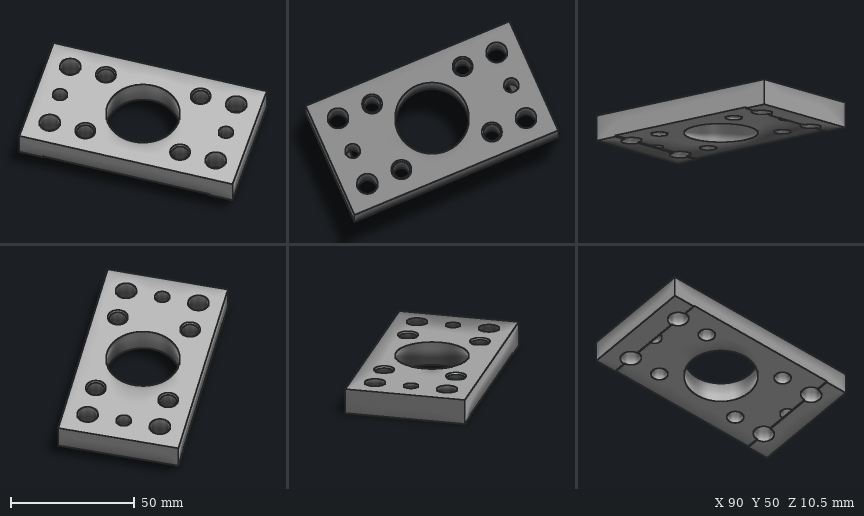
import cadquery as cq

length = 90.0
width = 50.0
height = 10.5

foot_length = 10.0
relief_depth = 0.5
relief_length = length - 2 * foot_length

bore_diameter = 30.0
hole_row_y = 15.0
clearance_diameter = 8.5
clearance_x = relief_length / 2
tapped_diameter = 6.8
tapped_chamfer_diameter = 8.2
tapped_x = 20.0
pin_diameter = 6.0
pin_x = clearance_x
pin_depth = height - relief_depth


def four_corners(x, y):
    return [(side_x * x, side_y * y) for side_x in (-1, 1) for side_y in (-1, 1)]


def top_holes(part, points, diameter, depth=None):
    return part.faces(">Z").workplane(origin=(0, 0, height)).pushPoints(points).hole(diameter, depth)


plate = cq.Workplane("XY").box(length, width, height, centered=(True, True, False))
relief = cq.Workplane("XY").box(relief_length, width, relief_depth, centered=(True, True, False))
result = plate.cut(relief)

result = top_holes(result, [(0, 0)], bore_diameter)
result = top_holes(result, four_corners(clearance_x, hole_row_y), clearance_diameter)

tapped_points = four_corners(tapped_x, hole_row_y)
result = (
    result.faces(">Z")
    .workplane(origin=(0, 0, height))
    .pushPoints(tapped_points)
    .cskHole(tapped_diameter, tapped_chamfer_diameter, 90)
)

result = top_holes(result, [(-pin_x, 0), (pin_x, 0)], pin_diameter, pin_depth)